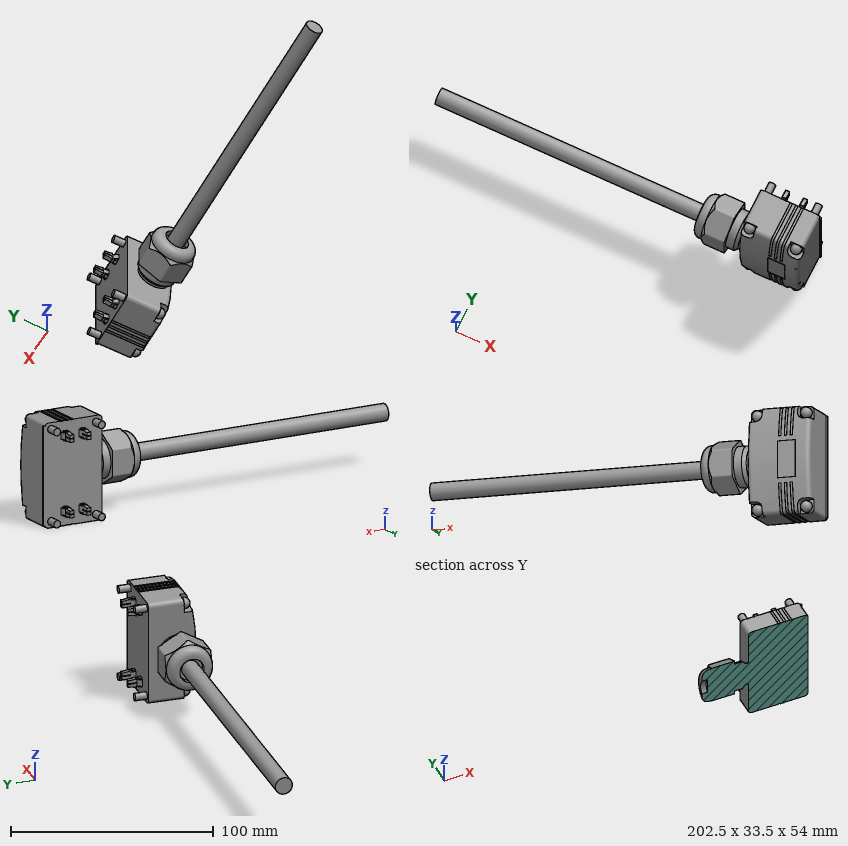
import cadquery as cq
import math


CABLE_RADIUS = 4.5

HOUSING_LEFT = 169.0
HOUSING_RIGHT = 201.8
HOUSING_HEIGHT = 54.0
BACK_Y = 14.4
FRONT_APEX_Y = -11.0
FRONT_EDGE_Y = -7.7
EDGE_RADIUS = 2.2
HALF_HEIGHT = HOUSING_HEIGHT / 2
HOUSING_WIDTH = HOUSING_RIGHT - HOUSING_LEFT
HOUSING_MID_X = (HOUSING_LEFT + HOUSING_RIGHT) / 2

LIP_END_X = 202.5
LIP_THICKNESS = 1.0
LIP_END_MARGIN = 1.5
LIP_LENGTH = HOUSING_HEIGHT - 2 * LIP_END_MARGIN

SCREW_OFFSET_X = 12.8
SCREW_OFFSET_Z = 23.7
SHANK_RADIUS = 1.92
SHANK_END_Y = 20.5
POCKET_RADIUS = 3.5
POCKET_FLOOR_Y = -4.3
HEAD_RADIUS = 2.8
HEAD_RIM_Y = -5.5

PEG_OFFSET_X = 4.9
PEG_OFFSET_Z = 19.5
PEG_END_Y = 21.5
PEG_THICKNESS = 2.2
PEG_HEIGHT = 3.6
BARB_Y = 17.2
BARB_REACH = 0.6
BARB_RAMP = 2.6
GUSSET_OUTER_REACH = 1.2
GUSSET_INNER_REACH = 0.6
GUSSET_HEIGHT = 2.6
PEG_SLIT = 0.5
PEG_BASE_WIDTH = 4.9
PEG_BASE_HEIGHT = 1.6

GROOVE_COUNT = 3
GROOVE_FIRST_X = 186.0
GROOVE_PITCH = 3.0
GROOVE_WIDTH = 1.2
GROOVE_DEPTH = 0.2
GROOVE_INNER_Z = 12.0
LABEL_MID_X = 189.7
LABEL_WIDTH = 9.3
LABEL_HEIGHT = 18.6
LABEL_DEPTH = 0.6
LABEL_FLOOR_Y = FRONT_APEX_Y + LABEL_DEPTH

CAP_FRONT_X = 144.0
CAP_RADIUS = 11.7
CAP_NOSE_RADIUS = 3.8
MOUTH_RADIUS = 6.3
MOUTH_DEPTH = 3.0
HEX_START_X = 149.0
HEX_END_X = 161.7
HEX_ACROSS_FLATS = 23.9
HEX_CHAMFER_ANGLE = 45
HEX_EDGE_RADIUS = 1.2
COLLAR_RADIUS = 10.3
COLLAR_END_X = 166.0
NECK_RADIUS = 8.5
NECK_START_X = 167.8
HEX_CORNER_RADIUS = HEX_ACROSS_FLATS / math.sqrt(3)


def box(x_range, y_range, z_range):
    """Box spanning the given (low, high) ranges."""
    sizes = [high - low for low, high in (x_range, y_range, z_range)]
    corner = (x_range[0], y_range[0], z_range[0])
    return cq.Workplane("XY").box(*sizes, centered=False).translate(corner)


def y_rod(x, z, radius, y_start, y_end):
    """Round bar along Y."""
    circle = cq.Workplane("XZ", origin=(x, y_start, z)).circle(radius)
    return circle.extrude(y_start - y_end)


def x_rod(radius, x_start, x_end):
    """Round bar on the cable axis."""
    return cq.Workplane("YZ", origin=(x_start, 0, 0)).circle(radius).extrude(x_end - x_start)


def arched_block(inset):
    """Housing block with its top, bottom and front surfaces moved in by inset."""
    top = HALF_HEIGHT - inset
    profile = (
        cq.Workplane("YZ", origin=(HOUSING_LEFT, 0, 0))
        .moveTo(BACK_Y, -top)
        .lineTo(FRONT_EDGE_Y + inset, -top)
        .threePointArc((FRONT_APEX_Y + inset, 0), (FRONT_EDGE_Y + inset, top))
        .lineTo(BACK_Y, top)
        .close()
    )
    return profile.extrude(HOUSING_WIDTH)


def make_shell():
    """Solid housing block with all edges rounded except those of the back."""
    return arched_block(0).edges("not >Y").fillet(EDGE_RADIUS)


def make_lip():
    """Thin strip that stands proud of the right wall, flush with the back."""
    return box(
        (HOUSING_MID_X, LIP_END_X),
        (BACK_Y - LIP_THICKNESS, BACK_Y),
        (-LIP_LENGTH / 2, LIP_LENGTH / 2),
    )


def make_grooves():
    """Shallow grooves that wrap over the upper and lower walls onto the front."""
    groove_floor = arched_block(GROOVE_DEPTH).edges("|X and (not >Y)").fillet(EDGE_RADIUS)
    bars = cq.Workplane("XY")
    for index in range(GROOVE_COUNT):
        start = GROOVE_FIRST_X + index * GROOVE_PITCH - GROOVE_WIDTH / 2
        for z_range in ((GROOVE_INNER_Z, HALF_HEIGHT), (-HALF_HEIGHT, -GROOVE_INNER_Z)):
            bars = bars.add(box((start, start + GROOVE_WIDTH), (FRONT_APEX_Y, BACK_Y), z_range))
    return bars.combine().cut(groove_floor)


def make_label_recess():
    """Flat rectangular recess across the crown of the front."""
    return box(
        (LABEL_MID_X - LABEL_WIDTH / 2, LABEL_MID_X + LABEL_WIDTH / 2),
        (FRONT_APEX_Y, LABEL_FLOOR_Y),
        (-LABEL_HEIGHT / 2, LABEL_HEIGHT / 2),
    )


def make_screw_pocket(side_x, side_z):
    """Corner pocket for a screw head, open to both walls, with a round inner corner."""
    x = HOUSING_MID_X + side_x * SCREW_OFFSET_X
    z = side_z * SCREW_OFFSET_Z
    reach = 2 * POCKET_RADIUS
    pocket = y_rod(x, z, POCKET_RADIUS, FRONT_APEX_Y, POCKET_FLOOR_Y)
    x_out = sorted((x, x + side_x * reach))
    z_out = sorted((z, z + side_z * reach))
    x_all = sorted((x - side_x * POCKET_RADIUS, x + side_x * reach))
    z_all = sorted((z - side_z * POCKET_RADIUS, z + side_z * reach))
    y_range = (FRONT_APEX_Y, POCKET_FLOOR_Y)
    return pocket.union(box(x_out, y_range, z_all)).union(box(x_all, y_range, z_out))


def make_screw(side_x, side_z):
    """Domed head in the front pocket and shank standing out of the back."""
    x = HOUSING_MID_X + side_x * SCREW_OFFSET_X
    z = side_z * SCREW_OFFSET_Z
    rim = y_rod(x, z, HEAD_RADIUS, POCKET_FLOOR_Y, HEAD_RIM_Y)
    dome = (
        cq.Workplane("XY")
        .sphere(HEAD_RADIUS, angle1=0, angle2=90)
        .rotate((0, 0, 0), (1, 0, 0), 90)
        .translate((x, HEAD_RIM_Y, z))
    )
    shank = y_rod(x, z, SHANK_RADIUS, BACK_Y, SHANK_END_Y)
    return rim.union(dome), shank


def make_peg(side_x, side_z):
    """Split snap peg with a barb above and below, side gussets and a wider base."""
    x = HOUSING_MID_X + side_x * PEG_OFFSET_X
    z = side_z * PEG_OFFSET_Z
    half_height = PEG_HEIGHT / 2
    half_thick = PEG_THICKNESS / 2
    barb_tip = half_height + BARB_REACH
    blade = (
        cq.Workplane("YZ", origin=(x - half_thick, 0, z))
        .polyline([
            (BACK_Y, -half_height),
            (BARB_Y, -half_height),
            (BARB_Y, -barb_tip),
            (BARB_Y + BARB_RAMP, -half_height),
            (PEG_END_Y, -half_height),
            (PEG_END_Y, half_height),
            (BARB_Y + BARB_RAMP, half_height),
            (BARB_Y, barb_tip),
            (BARB_Y, half_height),
            (BACK_Y, half_height),
        ])
        .close()
        .extrude(PEG_THICKNESS)
    )
    gussets = (
        cq.Workplane("XY", origin=(x, BACK_Y, z - half_height))
        .polyline([
            (side_x * (half_thick + GUSSET_OUTER_REACH), 0),
            (side_x * half_thick, GUSSET_HEIGHT),
            (-side_x * half_thick, GUSSET_HEIGHT),
            (-side_x * (half_thick + GUSSET_INNER_REACH), 0),
        ])
        .close()
        .extrude(PEG_HEIGHT)
    )
    base = box(
        (x - half_thick, x + half_thick),
        (BACK_Y, BACK_Y + PEG_BASE_HEIGHT),
        (z - PEG_BASE_WIDTH / 2, z + PEG_BASE_WIDTH / 2),
    )
    slit = box(
        (x - half_thick, x + half_thick),
        (BACK_Y + GUSSET_HEIGHT, PEG_END_Y),
        (z - PEG_SLIT / 2, z + PEG_SLIT / 2),
    )
    return blade.union(gussets).union(base).cut(slit)


def make_gland():
    """Round cap, hexagon, collar and tapered neck, all on the cable axis."""
    cap = x_rod(CAP_RADIUS, CAP_FRONT_X, HEX_START_X).faces("<X").edges().fillet(CAP_NOSE_RADIUS)

    hex_length = HEX_END_X - HEX_START_X
    hexagon = (
        cq.Workplane("YZ", origin=(HEX_START_X, 0, 0))
        .polygon(6, 2 * HEX_CORNER_RADIUS)
        .extrude(hex_length)
        .rotate((0, 0, 0), (1, 0, 0), 90)
        .edges("|X")
        .fillet(HEX_EDGE_RADIUS)
    )
    chamfer_rise = HEX_CORNER_RADIUS - CAP_RADIUS
    chamfer_run = chamfer_rise / math.tan(math.radians(HEX_CHAMFER_ANGLE))
    chamfer_bound = (
        x_rod(HEX_CORNER_RADIUS, HEX_START_X, HEX_END_X)
        .faces("<X")
        .chamfer(chamfer_run, chamfer_rise)
    )
    hexagon = hexagon.intersect(chamfer_bound)

    collar = (
        cq.Workplane("XY")
        .polyline([
            (HEX_END_X, 0),
            (HEX_END_X, COLLAR_RADIUS),
            (COLLAR_END_X, COLLAR_RADIUS),
            (NECK_START_X, NECK_RADIUS),
            (HOUSING_LEFT, NECK_RADIUS),
            (HOUSING_LEFT, 0),
        ])
        .close()
        .revolve(360, (0, 0, 0), (1, 0, 0))
    )
    mouth = x_rod(MOUTH_RADIUS, CAP_FRONT_X, CAP_FRONT_X + MOUTH_DEPTH)
    cable_bore = x_rod(CABLE_RADIUS, CAP_FRONT_X, HOUSING_LEFT)
    return cap.union(hexagon).union(collar).cut(mouth).cut(cable_bore)


def make_housing():
    """Housing with its screws, snap pegs and gland as one solid."""
    body = make_shell().union(make_lip()).cut(make_grooves()).cut(make_label_recess())
    for side_x in (-1, 1):
        for side_z in (-1, 1):
            head, shank = make_screw(side_x, side_z)
            body = body.cut(make_screw_pocket(side_x, side_z)).union(head).union(shank)
            body = body.union(make_peg(side_x, side_z))
    return body.union(make_gland())


def make_cable():
    """Cable running through the gland up to the housing wall."""
    return x_rod(CABLE_RADIUS, 0, HOUSING_LEFT)


housing = make_housing()
cable = make_cable()

result = cq.Compound.makeCompound([housing.solids().val(), cable.val()])